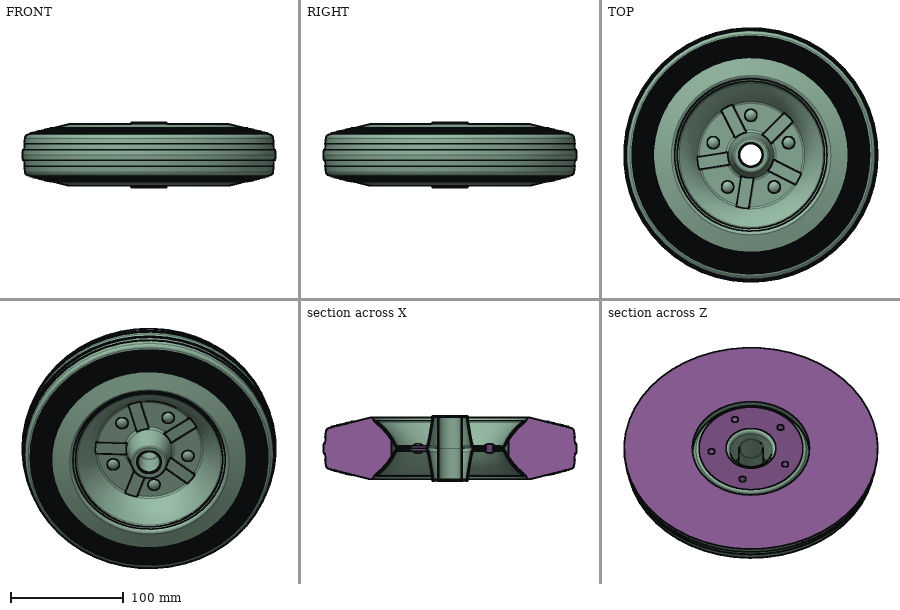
import cadquery as cq
import math


sheet = 1.5
hub_top = 29.0
hub_hole_radius = 10.8
hub_edge_radius = 1.3
hub_tilt = 80.3
hub_root_radius = 2.14
floor_inner_radius = 22.3
floor_outer_radius = 45.9
dish_root_radius = 1.8
dish_root_tilt = -66
dish_radius = 54.5
dish_rim_tilt = -38
lip_radius = 65.2

spoke_count = 5
spoke_width = 11.0
spoke_root_radius = 0.7
spoke_first_angle = 45
spoke_bite = 0.7

rivet_count = 5
rivet_circle_radius = 35.0
rivet_first_angle = 18
rivet_head_radius = 5.5
rivet_head_height = 2.7
rivet_shank_radius = 2.7

bush_bore_radius = 20.0 / 2
bush_half_length = 27.9

tyre_radius = 224.8 / 2
tyre_bore_radius = 51.7
tyre_mouth_radius = 67.5
tyre_mouth_edge_radius = 3.1
sidewall_tilt = 14.2
shoulder_start_radius = 107.2
shoulder_radius = 3.8
bead_count = 8
bead_radius = 0.63
first_bead_circle = 87.0
last_bead_circle = 104.5
tread_edge_tilt = 82.5
outer_band_bottom = 10.0
middle_band_top_radius = 110.4
middle_band_bottom_radius = 110.8
middle_band_bottom = 4.5
centre_band_top_radius = 112.0


def move(point, tilt, distance):
    """Point shifted along the normal that has the given tilt."""
    angle = math.radians(tilt)
    return (point[0] + distance * math.sin(angle), point[1] + distance * math.cos(angle))


def arc(section, centre, radius, start_tilt, end_tilt):
    """Extend a section by an arc about a centre; a negative radius makes it concave."""
    middle = move(centre, (start_tilt + end_tilt) / 2, radius)
    return section.threePointArc(middle, move(centre, end_tilt, radius))


def revolve(section):
    """Close a section and turn it about the Z axis."""
    return section.close().revolve(360, (0, 0, 0), (0, 1, 0))


def mirrored(half):
    """Copy on the other side of the XY plane."""
    return half.mirror("XY")


hub_edge_height = hub_top - hub_edge_radius
hub_root_centre = (floor_inner_radius, sheet + hub_root_radius)
hub_base = move(hub_root_centre, hub_tilt, -hub_root_radius)
hub_slope = math.tan(math.radians(hub_tilt))
hub_cone_top_height = move((0, hub_edge_height), hub_tilt, hub_edge_radius)[1]
hub_cone_top = (hub_base[0] - (hub_cone_top_height - hub_base[1]) / hub_slope, hub_cone_top_height)
hub_edge_centre = move(hub_cone_top, hub_tilt, -hub_edge_radius)

dish_root_centre = (floor_outer_radius, sheet + dish_root_radius)
dish_base = move(dish_root_centre, dish_root_tilt, -dish_root_radius)
dish_centre = move(dish_base, dish_root_tilt, -dish_radius)
dish_rim = move(dish_centre, dish_rim_tilt, dish_radius)
dish_back_radius = dish_radius - sheet
dish_back_rim = move(dish_centre, dish_rim_tilt, dish_back_radius)
rim_slope = -math.tan(math.radians(dish_rim_tilt))


def plate_body():
    """Pressed sheet: conical hub, flat floor, flared dish and straight lip."""
    hub_back_base = move(hub_root_centre, hub_tilt, -hub_root_radius - sheet)
    hub_back_top_height = hub_top - sheet
    hub_back_top_radius = hub_back_base[0] - (hub_back_top_height - hub_back_base[1]) / hub_slope
    lip_top = dish_rim[1] + (lip_radius - dish_rim[0]) * rim_slope
    lip_bottom = dish_back_rim[1] + (lip_radius - dish_back_rim[0]) * rim_slope

    section = cq.Workplane("XZ").moveTo(hub_hole_radius, hub_top).lineTo(hub_edge_centre[0], hub_top)
    section = arc(section, hub_edge_centre, hub_edge_radius, 0, hub_tilt)
    section = section.lineTo(*hub_base)
    section = arc(section, hub_root_centre, -hub_root_radius, hub_tilt, 0)
    section = section.lineTo(floor_outer_radius, sheet)
    section = arc(section, dish_root_centre, -dish_root_radius, 0, dish_root_tilt)
    section = arc(section, dish_centre, dish_radius, dish_root_tilt, dish_rim_tilt)
    section = section.lineTo(lip_radius, lip_top)
    section = section.lineTo(lip_radius, lip_bottom)
    section = section.lineTo(*dish_back_rim)
    section = arc(section, dish_centre, dish_back_radius, dish_rim_tilt, dish_root_tilt)
    section = arc(section, dish_root_centre, -dish_root_radius - sheet, dish_root_tilt, 0)
    section = section.lineTo(floor_inner_radius, 0)
    section = arc(section, hub_root_centre, -hub_root_radius - sheet, 0, hub_tilt)
    section = section.lineTo(hub_back_top_radius, hub_back_top_height)
    section = section.lineTo(hub_hole_radius, hub_back_top_height)
    return revolve(section)


def spoke(angle):
    """Raised bar from hub to dish, as high as the dish root fillet, with filleted sides."""
    inner_radius = hub_base[0] - spoke_bite
    outer_radius = dish_base[0] + spoke_bite
    height = dish_base[1] - sheet
    floor = cq.Workplane("XY").workplane(offset=sheet)
    ring = floor.circle(outer_radius).circle(inner_radius).extrude(height)

    side = spoke_width / 2
    root_height = sheet + spoke_root_radius
    section = cq.Workplane("YZ").moveTo(-side, sheet + height).lineTo(side, sheet + height)
    section = section.lineTo(side, root_height)
    section = arc(section, (side + spoke_root_radius, root_height), -spoke_root_radius, 90, 0)
    section = section.lineTo(-side - spoke_root_radius, sheet)
    section = arc(section, (-side - spoke_root_radius, root_height), -spoke_root_radius, 0, -90)
    bar = section.close().extrude(outer_radius)
    return bar.intersect(ring).rotate((0, 0, 0), (0, 0, 1), angle)


def plate():
    """Upper plate with its spokes and rivet holes."""
    body = plate_body()
    for index in range(spoke_count):
        body = body.union(spoke(spoke_first_angle + index * 360 / spoke_count))
    places = cq.Workplane("XY").polarArray(rivet_circle_radius, rivet_first_angle, 360, rivet_count)
    return body.cut(places.circle(rivet_shank_radius).extrude(sheet))


def rivet(angle):
    """Shank with a domed head on each side."""
    head_top = sheet + rivet_head_height
    dome_radius = (rivet_head_radius**2 + rivet_head_height**2) / (2 * rivet_head_height)
    dome_centre = (0, head_top - dome_radius)
    dome_tilt = math.degrees(math.asin(rivet_head_radius / dome_radius))
    section = cq.Workplane("XZ").lineTo(0, head_top)
    section = arc(section, dome_centre, dome_radius, 0, dome_tilt)
    section = section.lineTo(rivet_shank_radius, sheet).lineTo(rivet_shank_radius, 0)
    half = revolve(section)
    whole = half.union(mirrored(half))
    return whole.translate((rivet_circle_radius, 0, 0)).rotate((0, 0, 0), (0, 0, 1), angle)


def bush():
    """Plain tube, sunk a little below the hub tops."""
    tube = cq.Workplane("XY").circle(hub_hole_radius).circle(bush_bore_radius)
    return tube.extrude(bush_half_length, both=True)


def tyre():
    """Ring seated on the plate backs, with beaded sidewalls and a stepped tread."""
    bore_tilt = math.degrees(math.asin((tyre_bore_radius - dish_centre[0]) / dish_back_radius))
    bore_height = move(dish_centre, bore_tilt, dish_back_radius)[1]
    seat_top = dish_back_rim[1] + (tyre_mouth_radius - dish_back_rim[0]) * rim_slope
    edge_centre = (tyre_mouth_radius + tyre_mouth_edge_radius, seat_top)
    sidewall_start = move(edge_centre, 0, tyre_mouth_edge_radius)

    def sidewall_point(radius):
        drop = (radius - sidewall_start[0]) * math.tan(math.radians(sidewall_tilt))
        return (radius, sidewall_start[1] - drop)

    section = cq.Workplane("XZ").moveTo(tyre_bore_radius, 0).lineTo(tyre_bore_radius, bore_height)
    section = arc(section, dish_centre, dish_back_radius, bore_tilt, dish_rim_tilt)
    section = section.lineTo(tyre_mouth_radius, seat_top)
    section = arc(section, edge_centre, tyre_mouth_edge_radius, -90, 0)

    bead_pitch = (last_bead_circle - first_bead_circle) / (bead_count - 1)
    for index in range(bead_count):
        bead_centre = sidewall_point(first_bead_circle + index * bead_pitch)
        section = section.lineTo(*move(bead_centre, sidewall_tilt - 90, bead_radius))
        section = arc(section, bead_centre, bead_radius, sidewall_tilt - 90, sidewall_tilt + 90)

    shoulder_start = sidewall_point(shoulder_start_radius)
    shoulder_centre = move(shoulder_start, sidewall_tilt, -shoulder_radius)
    shoulder_end = move(shoulder_centre, tread_edge_tilt, shoulder_radius)
    section = section.lineTo(*shoulder_start)
    section = arc(section, shoulder_centre, shoulder_radius, sidewall_tilt, tread_edge_tilt)

    outer_band_growth = (shoulder_end[1] - outer_band_bottom) / math.tan(math.radians(tread_edge_tilt))
    section = section.lineTo(shoulder_end[0] + outer_band_growth, outer_band_bottom)
    section = section.lineTo(middle_band_top_radius, outer_band_bottom)
    section = section.lineTo(middle_band_bottom_radius, middle_band_bottom)
    section = section.lineTo(centre_band_top_radius, middle_band_bottom)
    section = section.lineTo(tyre_radius, 0)
    half = revolve(section)
    return half.union(mirrored(half))


upper_plate = plate()
lower_plate = mirrored(upper_plate)
rivets = [rivet(rivet_first_angle + index * 360 / rivet_count) for index in range(rivet_count)]

result = cq.Compound.makeCompound(
    [tyre().val(), upper_plate.val(), lower_plate.val(), bush().val()] + [body.val() for body in rivets]
)